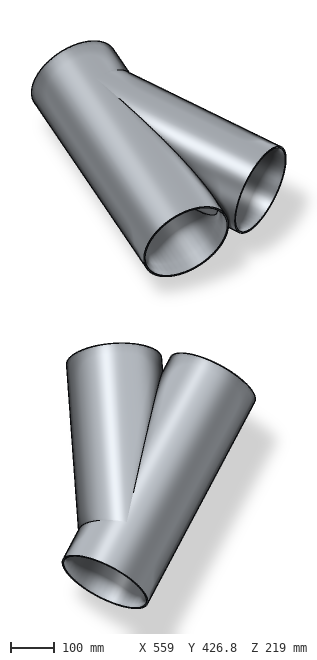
import cadquery as cq
import math

run_length = 559.0
outer_diameter = 219.0
inner_diameter = 212.0
branch_angle = 30.0
branch_length = 445.0
crossing_x = 114.5

angle = math.radians(branch_angle)
run_axis = cq.Plane(origin=(0, 0, 0), xDir=(0, 1, 0), normal=(1, 0, 0))
branch_axis = cq.Plane(
    origin=(crossing_x, 0, 0),
    xDir=(0, 0, 1),
    normal=(math.cos(angle), math.sin(angle), 0),
)


def lateral_tee(diameter):
    """Solid run and branch cylinders of one diameter, joined."""
    run = cq.Workplane(run_axis).circle(diameter / 2).extrude(run_length)
    branch = cq.Workplane(branch_axis).circle(diameter / 2).extrude(branch_length)
    return run.union(branch)


result = lateral_tee(outer_diameter).cut(lateral_tee(inner_diameter))